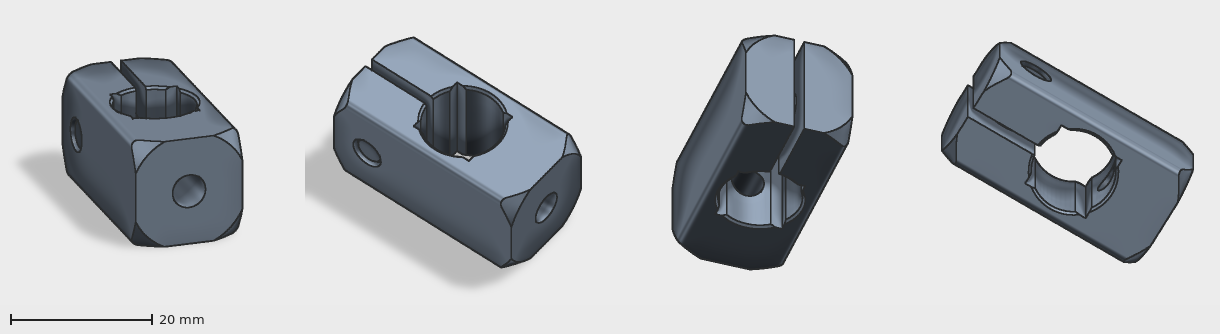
import cadquery as cq

length = 32.0
width = 16.0
edge_radius = 1.12
end_circle_radius = 8.8
cone_height = 3.2

bore_x = 1.0
bore_diameter = 12.0
bore_chamfer = 0.4
square_side = 10.0
slot_width = 1.5

screw_x = -10.0
screw_diameter = 5.0
screw_tip_depth = 0.5
screw_tip_chamfer = 0.5

cross_hole_diameter = 4.93


def end_cone(side):
    """Envelope with a 45 degree cone at one end; side is -1 or +1."""
    end_x = side * length / 2
    base_x = end_x - side * cone_height
    return (
        cq.Workplane("XY")
        .moveTo(-side * length / 2, 0)
        .lineTo(end_x, 0)
        .lineTo(end_x, end_circle_radius)
        .lineTo(base_x, end_circle_radius + cone_height)
        .lineTo(-side * length / 2, end_circle_radius + cone_height)
        .close()
        .revolve(360, (0, 0, 0), (1, 0, 0))
    )


def make_block():
    block = cq.Workplane("XY").box(length, width, width).edges("|X").fillet(edge_radius)
    for side in (-1, 1):
        block = block.intersect(end_cone(side))
    return block


def make_bore():
    """Round bore with chamfered mouths, joined with the square passage."""
    radius = bore_diameter / 2
    half_height = width / 2
    round_bore = (
        cq.Workplane("XZ")
        .moveTo(0, -half_height)
        .lineTo(radius + bore_chamfer, -half_height)
        .lineTo(radius, -half_height + bore_chamfer)
        .lineTo(radius, half_height - bore_chamfer)
        .lineTo(radius + bore_chamfer, half_height)
        .lineTo(0, half_height)
        .close()
        .revolve(360, (0, 0, 0), (0, 1, 0))
    )
    square = cq.Workplane("XY").box(square_side, square_side, width)
    return round_bore.union(square).translate((bore_x, 0, 0))


def make_slot():
    """Slot from the -X end to the bore."""
    slot_length = bore_x + length / 2
    return cq.Workplane("XY").box(slot_length, slot_width, width).translate(((bore_x - length / 2) / 2, 0, 0))


def make_cross_hole():
    return (
        cq.Workplane("YZ", origin=(bore_x, 0, 0))
        .circle(cross_hole_diameter / 2)
        .extrude(length / 2 - bore_x)
    )


def screw_cylinder(start_y, end_y):
    return (
        cq.Workplane("XZ", origin=(screw_x, end_y, 0))
        .circle(screw_diameter / 2)
        .extrude(end_y - start_y)
    )


body = make_block().cut(make_bore()).cut(make_slot()).cut(make_cross_hole())

screw_hole = screw_cylinder(-width / 2, 0)
screw_end_y = slot_width
screw = screw_cylinder(-width / 2 + screw_tip_depth, screw_end_y).faces("<Y").chamfer(screw_tip_chamfer)

result = body.cut(screw_hole).union(screw)